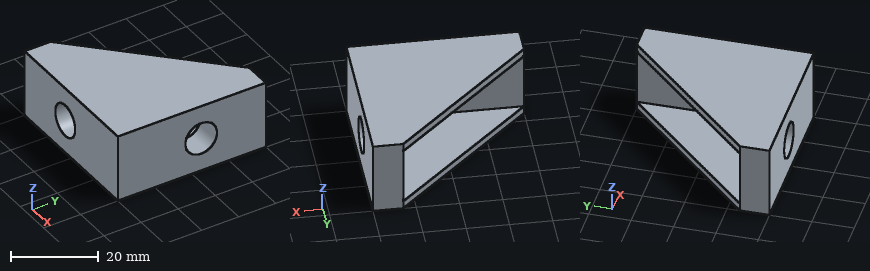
import cadquery as cq

leg_length = 40.0
height = 18.0
leg_thickness = 7.0
cheek_thickness = 2.0
hole_diameter = 8.5
hole_from_corner = 22.5

inner_face_x = leg_length - leg_thickness
mid_height = height / 2
pocket_height = height - 2 * cheek_thickness


def make_body():
    """Solid block with its sloping side running between the ends of the legs."""
    outline = [
        (0, 0),
        (leg_length, 0),
        (leg_length, leg_length),
        (inner_face_x, leg_length),
        (0, leg_thickness),
    ]
    return cq.Workplane("XY").polyline(outline).close().extrude(height)


def make_pocket():
    """Triangular space between the legs and the cheeks, open along the slope."""
    outline = [
        (0, leg_thickness),
        (inner_face_x, leg_thickness),
        (inner_face_x, leg_length),
    ]
    return (
        cq.Workplane("XY", origin=(0, 0, cheek_thickness))
        .polyline(outline)
        .close()
        .extrude(pocket_height)
    )


def make_leg_hole(start, direction):
    """Bolt hole through one leg, from its outer face to the pocket."""
    return cq.Workplane(
        cq.Solid.makeCylinder(
            hole_diameter / 2, leg_thickness, cq.Vector(*start), cq.Vector(*direction)
        )
    )


y_leg_hole = make_leg_hole((leg_length, hole_from_corner, mid_height), (-1, 0, 0))
x_leg_hole = make_leg_hole((leg_length - hole_from_corner, 0, mid_height), (0, 1, 0))

result = make_body().cut(make_pocket()).cut(y_leg_hole).cut(x_leg_hole)